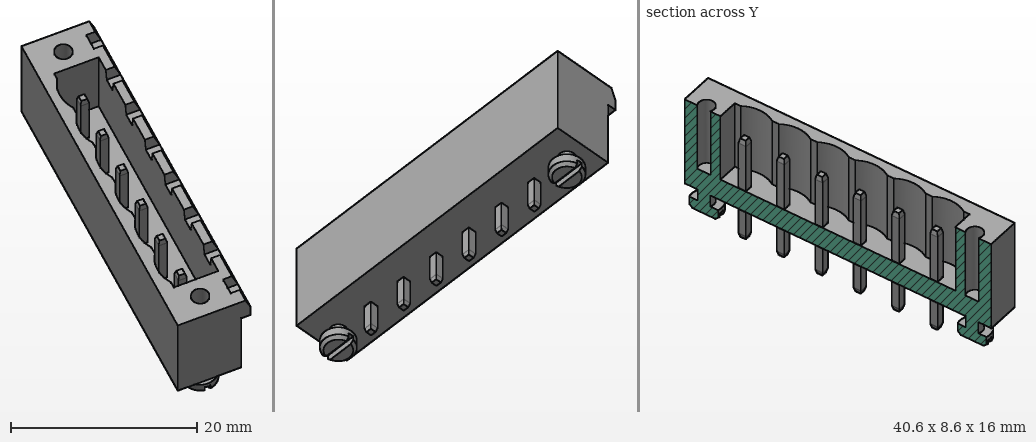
import cadquery as cq
import math


pitch = 5.08
pin_count = 6
place_count = pin_count + 2
row_y = 3.8

housing_length = place_count * pitch
housing_depth = 7.5
housing_height = 12.0
ledge_overhang = 1.1
ledge_height = 3.0
bevel_height = 1.5
bevel_width = 0.6

cavity_length = 31.1
cavity_front_y = 1.7
cavity_back_y = 6.95
cavity_depth = 9.0
scallop_width = 4.2
scallop_rise = 0.62

notch_depth = bevel_height
notch_floor_width = 1.5
notch_top_width = 2.0

pin_width = 1.0
pin_tip_width = 0.7
pin_taper = 0.6
pin_bottom_z = -4.0
pin_top_z = 10.0

screw_diameter = 2.0
screw_hole_depth = cavity_depth
head_diameter = 4.0
head_top_z = -1.5
head_bottom_z = -3.0
head_chamfer = 0.4
slot_width = 0.65
slot_depth = 0.9

place_xs = [(i - (place_count - 1) / 2) * pitch for i in range(place_count)]
pin_xs = place_xs[1:-1]
screw_xs = [place_xs[0], place_xs[-1]]
ledge_y = housing_depth + ledge_overhang


def make_housing():
    """Block with a bevelled latching ledge along its rear top edge."""
    return (
        cq.Workplane("YZ")
        .polyline([
            (0, 0),
            (housing_depth, 0),
            (housing_depth, housing_height - ledge_height),
            (ledge_y, housing_height - ledge_height),
            (ledge_y, housing_height - bevel_height),
            (ledge_y - bevel_width, housing_height),
            (0, housing_height),
        ])
        .close()
        .extrude(housing_length / 2, both=True)
    )


def make_cavity():
    """Open-topped pocket whose front wall is scalloped in front of every pin."""
    half_length = cavity_length / 2
    outline = cq.Workplane("XY", origin=(0, 0, housing_height - cavity_depth))
    outline = outline.moveTo(-half_length, cavity_back_y).lineTo(-half_length, cavity_front_y)
    for x in pin_xs:
        outline = outline.lineTo(x - scallop_width / 2, cavity_front_y)
        outline = outline.threePointArc(
            (x, cavity_front_y - scallop_rise),
            (x + scallop_width / 2, cavity_front_y),
        )
    outline = outline.lineTo(half_length, cavity_front_y).lineTo(half_length, cavity_back_y)
    return outline.close().extrude(cavity_depth)


def make_notch(x):
    """Flared notch running from the back of the cavity out through the ledge."""
    floor_z = housing_height - notch_depth
    return (
        cq.Workplane("XZ", origin=(x, cavity_back_y, 0))
        .polyline([
            (-notch_floor_width / 2, floor_z),
            (notch_floor_width / 2, floor_z),
            (notch_top_width / 2, housing_height),
            (-notch_top_width / 2, housing_height),
        ])
        .close()
        .extrude(cavity_back_y - ledge_y)
    )


def make_pin(x):
    """Square pin tapered at both ends."""
    taper_angle = math.degrees(math.atan((pin_width - pin_tip_width) / 2 / pin_taper))
    shank_bottom_z = pin_bottom_z + pin_taper
    shank_top_z = pin_top_z - pin_taper

    def square_at(z):
        return cq.Workplane("XY", origin=(x, row_y, z)).rect(pin_width, pin_width)

    shank = square_at(shank_bottom_z).extrude(shank_top_z - shank_bottom_z)
    top_tip = square_at(shank_top_z).extrude(pin_taper, taper=taper_angle)
    bottom_tip = square_at(shank_bottom_z).extrude(-pin_taper, taper=taper_angle)
    return shank.union(top_tip).union(bottom_tip)


def make_screw(x):
    """Shank and slotted head standing below the housing."""
    shank = (
        cq.Workplane("XY", origin=(x, row_y, head_top_z))
        .circle(screw_diameter / 2)
        .extrude(-head_top_z)
    )
    head = (
        cq.Workplane("XY", origin=(x, row_y, head_bottom_z))
        .circle(head_diameter / 2)
        .extrude(head_top_z - head_bottom_z)
        .faces("<Z")
        .chamfer(head_chamfer)
    )
    slot = (
        cq.Workplane("XY", origin=(x, row_y, head_bottom_z))
        .rect(head_diameter, slot_width)
        .extrude(slot_depth)
    )
    return shank.union(head.cut(slot))


def make_screw_hole(x):
    """Blind hole in the flange above a screw."""
    return (
        cq.Workplane("XY", origin=(x, row_y, housing_height))
        .circle(screw_diameter / 2)
        .extrude(-screw_hole_depth)
    )


result = make_housing().cut(make_cavity())

for place_x in place_xs:
    result = result.cut(make_notch(place_x))

for pin_x in pin_xs:
    result = result.union(make_pin(pin_x))

for screw_x in screw_xs:
    result = result.cut(make_screw_hole(screw_x)).union(make_screw(screw_x))